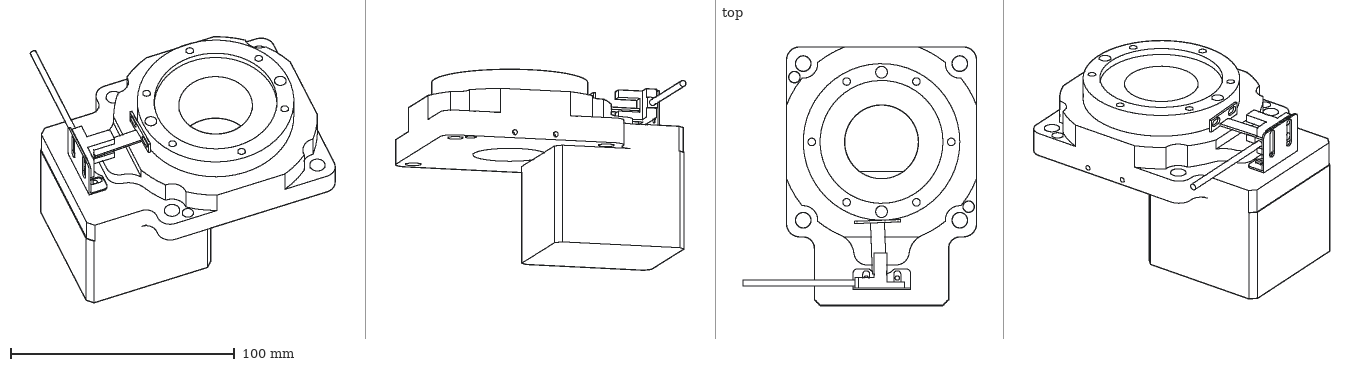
import cadquery as cq
import math


plate_side = 85.0
plate_thickness = 11.2
plate_corner_radius = 6.0
neck_corner_radius = 5.0
mount_spacing = 70.0
mount_hole_diameter = 6.8
dowel_hole_diameter = 5.0
dowel_x = 38.9
dowel_y = 29.0
side_hole_diameter = 2.2
side_hole_depth = 4.6
side_hole_spacing = 19.0
side_hole_z = 2.5

motor_side = 60.1
motor_height = 43.9
motor_chamfer = 2.8
overall_length = 115.8
motor_front_y = plate_side / 2 - overall_length
motor_center_y = motor_front_y + motor_side / 2
neck_setback = 0.3

deck_top_z = 22.1
deck_radius = 45.5
deck_relief_radius = 6.5
tongue_top_z = 17.5
tongue_end_y = -55.0
tongue_flat_half = 6.4
tongue_corner_radius = 6.0
tongue_fillet_radius = 10.0

table_top_z = 32.7
table_radius = 35.0
recess_radius = 27.5
recess_depth = 3.0
bore_radius = 16.5
table_hole_circle_radius = 31.2
table_hole_count = 6
table_hole_diameter = 3.4
table_hole_depth = 8.1
table_pin_hole_diameter = 5.2
table_pin_hole_depth = 8.1
drill_point_angle = 118

bracket_center_x = 0.1
bracket_width = 25.7
bracket_back_y = -66.0
bracket_thickness = 0.8
bracket_height = 19.3
bracket_corner_radius = 2.0
foot_end_y = -56.7
foot_corner_radius = 2.0
foot_notch_radius = 7.4
foot_notch_center_y = -51.9
foot_slot_spacing = 13.9
foot_slot_width = 3.1
foot_slot_end_y = -57.5
foot_slot_length = 6.3
foot_screw_y = -60.8
foot_screw_diameter = 2.0
foot_screw_depth = 4.6
upright_slot_spacing = 12.7
upright_slot_width = 3.5
upright_slot_bottom_z = 16.6
upright_slot_top_z = 30.0

sensor_center_z = 24.8
sensor_height = 13.1
sensor_back_y = bracket_back_y + bracket_thickness
sensor_left_x = -10.3
sensor_right_x = 10.2
sensor_left_front_y = -60.6
sensor_right_front_y = -62.5
sensor_left_rounding = 0.8
sensor_right_rounding = 1.9
fork_left_x = -3.4
fork_right_x = 2.4
fork_tip_y = -49.6
fork_gap = 6.3
fork_gap_end_y = -59.5
sensor_hole_spacing = 7.5
sensor_hole_diameter = 3.4
cable_boss_left_x = -11.8
cable_boss_height = 4.6
cable_diameter = 2.8
cable_y = -63.0
cable_end_x = -62.0

flag_turn_angle = 2.1
flag_center_x = -3.1
flag_thickness = 1.0
flag_plate_width = 20.5
flag_plate_height = 5.8
flag_slot_spacing = 12.6
flag_slot_length = 5.7
flag_slot_width = 3.0
flag_slot_height = 3.4
flag_strip_width = 6.3
flag_strip_end_y = -58.8


def upright_box(x_min, x_max, y_min, y_max, z_min, z_max):
    """Box between the given limits."""
    size = (x_max - x_min, y_max - y_min, z_max - z_min)
    return cq.Workplane("XY").box(*size, centered=False).translate((x_min, y_min, z_min))


def cylinder(x, y, radius, z_min, z_max):
    """Vertical cylinder between two heights."""
    return cq.Workplane("XY").workplane(offset=z_min).center(x, y).circle(radius).extrude(z_max - z_min)


def drilled_hole(point, direction, diameter, depth):
    """Cutter for a blind hole of full diameter to the depth, ending in a drill point."""
    radius = diameter / 2
    point_length = radius / math.tan(math.radians(drill_point_angle / 2))
    start = cq.Vector(*point)
    axis = cq.Vector(*direction)
    shank = cq.Solid.makeCylinder(radius, depth, start, axis)
    cone = cq.Solid.makeCone(radius, 0, point_length, start + axis * depth, axis)
    return cq.Workplane(shank.fuse(cone))


def make_base_plate():
    half = plate_side / 2
    neck_end_y = motor_front_y + neck_setback
    square = cq.Workplane("XY").rect(plate_side, plate_side).extrude(plate_thickness)
    square = square.edges("|Z").fillet(plate_corner_radius)
    neck = upright_box(-motor_side / 2, motor_side / 2, neck_end_y, 0, 0, plate_thickness)
    neck = neck.edges("|Z and <Y").chamfer(motor_chamfer)
    plate = square.union(neck)
    margin = neck_corner_radius / 2
    inner_corners = cq.selectors.BoxSelector(
        (-motor_side / 2 - margin, -half - margin, 0),
        (motor_side / 2 + margin, -half + margin, plate_thickness),
    )
    return plate.edges("|Z").edges(inner_corners).fillet(neck_corner_radius)


def make_motor():
    motor = cq.Workplane("XY").center(0, motor_center_y).rect(motor_side, motor_side).extrude(-motor_height)
    return motor.edges("|Z").chamfer(motor_chamfer)


def make_deck():
    half = plate_side / 2
    deck = cylinder(0, 0, deck_radius, plate_thickness, deck_top_z)
    deck = deck.intersect(upright_box(-half, half, -half, half, plate_thickness, deck_top_z))
    for x in (-mount_spacing / 2, mount_spacing / 2):
        for y in (-mount_spacing / 2, mount_spacing / 2):
            deck = deck.cut(cylinder(x, y, deck_relief_radius, plate_thickness, deck_top_z))
    return deck


def make_tongue():
    """Tongue whose sides flow from the deck circle through a fillet into rounded corners, all tangent."""
    corner_x = tongue_flat_half
    corner_y = tongue_end_y + tongue_corner_radius

    axis_to_fillet = deck_radius + tongue_fillet_radius
    corner_to_fillet = tongue_corner_radius + tongue_fillet_radius
    axis_to_corner = math.hypot(corner_x, corner_y)
    along = (axis_to_fillet**2 - corner_to_fillet**2 + axis_to_corner**2) / (2 * axis_to_corner)
    across = math.sqrt(axis_to_fillet**2 - along**2)
    corner_angle = math.atan2(corner_y, corner_x)
    fillet_angle = corner_angle + math.atan2(across, along)
    fillet_x = axis_to_fillet * math.cos(fillet_angle)
    fillet_y = axis_to_fillet * math.sin(fillet_angle)

    def fillet_point(angle):
        return (
            fillet_x + tongue_fillet_radius * math.cos(angle),
            fillet_y + tongue_fillet_radius * math.sin(angle),
        )

    def corner_point(angle):
        return (
            corner_x + tongue_corner_radius * math.cos(angle),
            corner_y + tongue_corner_radius * math.sin(angle),
        )

    def mirrored(point):
        return (-point[0], point[1])

    fillet_start_angle = fillet_angle + math.pi
    fillet_end_angle = math.atan2(corner_y - fillet_y, corner_x - fillet_x) % (2 * math.pi)
    corner_start_angle = fillet_end_angle - math.pi
    corner_end_angle = -math.pi / 2
    side_start = fillet_point(fillet_start_angle)
    fillet_middle = fillet_point((fillet_start_angle + fillet_end_angle) / 2)
    side_inflection = fillet_point(fillet_end_angle)
    corner_middle = corner_point((corner_start_angle + corner_end_angle) / 2)
    corner_end = corner_point(corner_end_angle)
    outline = (
        cq.Workplane("XY")
        .workplane(offset=plate_thickness)
        .moveTo(*side_start)
        .threePointArc(fillet_middle, side_inflection)
        .threePointArc(corner_middle, corner_end)
        .lineTo(*mirrored(corner_end))
        .threePointArc(mirrored(corner_middle), mirrored(side_inflection))
        .threePointArc(mirrored(fillet_middle), mirrored(side_start))
        .close()
    )
    tongue = outline.extrude(deck_top_z - plate_thickness)
    step = upright_box(
        -plate_side / 2, plate_side / 2, motor_front_y, -plate_side / 2, tongue_top_z, deck_top_z
    )
    return tongue.cut(step)


def cut_through_holes(body):
    for x in (-mount_spacing / 2, mount_spacing / 2):
        for y in (-mount_spacing / 2, mount_spacing / 2):
            body = body.cut(cylinder(x, y, mount_hole_diameter / 2, 0, plate_thickness))
    for x, y in ((-dowel_x, dowel_y), (dowel_x, -dowel_y)):
        body = body.cut(cylinder(x, y, dowel_hole_diameter / 2, 0, plate_thickness))
    body = body.cut(cylinder(0, 0, bore_radius, 0, table_top_z))
    return body.cut(cylinder(0, 0, recess_radius, table_top_z - recess_depth, table_top_z))


def cut_blind_holes(body):
    down = (0, 0, -1)
    for index in range(table_hole_count):
        angle = index * 2 * math.pi / table_hole_count
        x = table_hole_circle_radius * math.cos(angle)
        y = table_hole_circle_radius * math.sin(angle)
        body = body.cut(drilled_hole((x, y, table_top_z), down, table_hole_diameter, table_hole_depth))
    for y in (-table_hole_circle_radius, table_hole_circle_radius):
        point = (0, y, table_top_z)
        body = body.cut(drilled_hole(point, down, table_pin_hole_diameter, table_pin_hole_depth))
    for y in (-side_hole_spacing / 2, side_hole_spacing / 2):
        point = (-plate_side / 2, y, side_hole_z)
        body = body.cut(drilled_hole(point, (1, 0, 0), side_hole_diameter, side_hole_depth))
    for offset in (-foot_slot_spacing / 2, foot_slot_spacing / 2):
        point = (bracket_center_x + offset, foot_screw_y, plate_thickness)
        body = body.cut(drilled_hole(point, down, foot_screw_diameter, foot_screw_depth))
    return body


def make_actuator():
    table = cylinder(0, 0, table_radius, deck_top_z, table_top_z)
    body = make_base_plate().union(make_motor()).union(make_deck()).union(make_tongue()).union(table)
    return cut_blind_holes(cut_through_holes(body))


def make_bracket():
    left_x = bracket_center_x - bracket_width / 2
    right_x = bracket_center_x + bracket_width / 2
    foot_top_z = plate_thickness + bracket_thickness
    top_z = plate_thickness + bracket_height

    foot = upright_box(left_x, right_x, bracket_back_y, foot_end_y, plate_thickness, foot_top_z)
    foot = foot.edges("|Z and >Y").fillet(foot_corner_radius)
    foot = foot.cut(
        cylinder(bracket_center_x, foot_notch_center_y, foot_notch_radius, plate_thickness, foot_top_z)
    )
    foot_slots = (
        cq.Workplane("XY")
        .workplane(offset=plate_thickness)
        .center(bracket_center_x, foot_slot_end_y - foot_slot_length / 2)
        .rarray(foot_slot_spacing, 1.2, 2, 1)
        .slot2D(foot_slot_length, foot_slot_width, 90)
        .extrude(bracket_thickness)
    )

    upright = upright_box(left_x, right_x, bracket_back_y, sensor_back_y, plate_thickness, top_z)
    upright = upright.edges("|Y and >Z").fillet(bracket_corner_radius)
    upright_slots = (
        cq.Workplane("XZ", origin=(0, sensor_back_y, 0))
        .center(bracket_center_x, (upright_slot_bottom_z + upright_slot_top_z) / 2)
        .rarray(upright_slot_spacing, 1.2, 2, 1)
        .slot2D(upright_slot_top_z - upright_slot_bottom_z, upright_slot_width, 90)
        .extrude(bracket_thickness)
    )
    return upright.cut(upright_slots).union(foot.cut(foot_slots))


def make_sensor():
    bottom_z = sensor_center_z - sensor_height / 2
    top_z = sensor_center_z + sensor_height / 2

    left = upright_box(sensor_left_x, fork_left_x, sensor_back_y, sensor_left_front_y, bottom_z, top_z)
    left = left.edges("|Y and <X").fillet(sensor_left_rounding)
    right = upright_box(fork_right_x, sensor_right_x, sensor_back_y, sensor_right_front_y, bottom_z, top_z)
    right = right.edges("|Y and >X").fillet(sensor_right_rounding)
    fork = upright_box(fork_left_x, fork_right_x, sensor_back_y, fork_tip_y, bottom_z, top_z)
    gap = upright_box(
        fork_left_x,
        fork_right_x,
        fork_gap_end_y,
        fork_tip_y,
        sensor_center_z - fork_gap / 2,
        sensor_center_z + fork_gap / 2,
    )
    boss = upright_box(
        cable_boss_left_x,
        sensor_left_x,
        sensor_back_y,
        sensor_left_front_y,
        sensor_center_z - cable_boss_height / 2,
        sensor_center_z + cable_boss_height / 2,
    )
    cable = (
        cq.Workplane("YZ", origin=(cable_end_x, cable_y, sensor_center_z))
        .circle(cable_diameter / 2)
        .extrude(cable_boss_left_x - cable_end_x)
    )
    mounting_holes = (
        cq.Workplane("XZ", origin=(bracket_center_x + upright_slot_spacing / 2, 0, sensor_center_z))
        .rarray(1.2, sensor_hole_spacing, 1, 2)
        .circle(sensor_hole_diameter / 2)
        .extrude(-sensor_back_y)
    )
    return fork.cut(gap).union(left).union(right).cut(mounting_holes).union(boss).union(cable)


def make_flag():
    plate_face_y = -table_radius - flag_thickness
    plate = upright_box(
        flag_center_x - flag_plate_width / 2,
        flag_center_x + flag_plate_width / 2,
        plate_face_y,
        -table_radius,
        deck_top_z,
        deck_top_z + flag_plate_height,
    )
    slots = (
        cq.Workplane("XZ", origin=(flag_center_x, -table_radius, deck_top_z + flag_slot_height))
        .rarray(flag_slot_spacing, 1.2, 2, 1)
        .slot2D(flag_slot_length, flag_slot_width)
        .extrude(flag_thickness)
    )
    strip = upright_box(
        flag_center_x - flag_strip_width / 2,
        flag_center_x + flag_strip_width / 2,
        flag_strip_end_y,
        -table_radius,
        deck_top_z,
        deck_top_z + flag_thickness,
    )
    return plate.cut(slots).union(strip).rotate((0, 0, 0), (0, 0, 1), flag_turn_angle)


actuator = make_actuator()
bracket = make_bracket()
sensor = make_sensor()
flag = make_flag()

result = cq.Compound.makeCompound([actuator.val(), bracket.val(), sensor.val(), flag.val()])